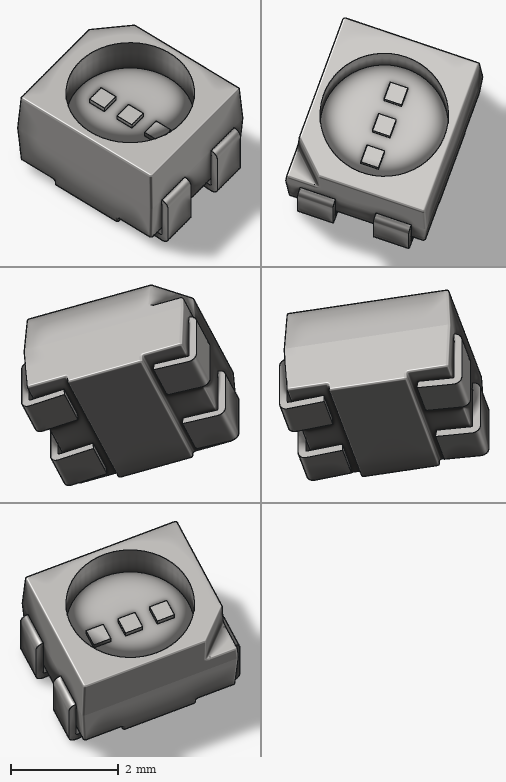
import cadquery as cq
import math

body_x = 3.2
body_y = 2.8
upper_height = 0.9
lower_height = 1.1
draft_angle = 3.0
edge_radius = 0.05

foot_width = 1.5
foot_height = 0.15

notch_leg = 0.7
notch_depth = 0.6

cavity_diameter = 2.4
cavity_depth = 0.75
die_size = 0.35
die_height = 0.1
die_pitch = 0.65
die_count = 3

span_x = 3.5
lead_thickness = 0.15
lead_width = 0.7
lead_pitch = 1.5
lead_tip_x = 0.9
lead_tilt = math.radians(3.5)
lead_outer_radius = 0.15
lead_inner_radius = 0.03
lead_embed = 0.15

foot_z = 0.09
parting_z = foot_z + lower_height
top_z = parting_z + upper_height
shelf_z = foot_z + foot_height
notch_z = top_z - notch_depth
cavity_z = top_z - cavity_depth


def tapered_block(height):
    """Block standing on XY whose four sides lean inwards."""
    return cq.Workplane("XY").rect(body_x, body_y).extrude(height, taper=draft_angle)


def upper_half():
    """Upper half: notched at one corner, every edge above the parting plane rounded."""
    notch = (
        cq.Workplane("XY", origin=(-body_x / 2, body_y / 2, notch_z))
        .moveTo(-notch_leg, -2 * notch_leg)
        .lineTo(2 * notch_leg, notch_leg)
        .lineTo(-notch_leg, notch_leg)
        .close()
        .extrude(2 * notch_depth)
    )
    block = tapered_block(upper_height).translate((0, 0, parting_z))
    return block.cut(notch).edges("not(<Z)").fillet(edge_radius)


def lower_half():
    """Lower half: a shelf each side of the foot, every edge below the parting plane rounded."""
    block = tapered_block(lower_height).mirror("XY").translate((0, 0, parting_z))
    for side in (-1, 1):
        shelf_center_x = side * (foot_width + body_x) / 2
        shelf = (
            cq.Workplane("XY", origin=(shelf_center_x, 0, shelf_z))
            .rect(body_x, 2 * body_y)
            .extrude(-2 * foot_height)
        )
        block = block.cut(shelf)
    return block.edges("not(>Z)").fillet(edge_radius)


def cavity():
    """Round reflector cavity open at the top face."""
    return cq.Workplane("XY", origin=(0, 0, cavity_z)).circle(cavity_diameter / 2).extrude(cavity_depth)


def dies():
    """Row of square dies standing on the cavity floor."""
    return (
        cq.Workplane("XY", origin=(0, 0, cavity_z))
        .rarray(die_pitch, 1, die_count, 1)
        .rect(die_size, die_size)
        .extrude(die_height)
    )


def left_lead():
    """Lead at -X: leaves the housing at the parting plane, drops, then hooks under with an upward tilt."""
    outer_x = -span_x / 2
    inner_x = outer_x + lead_thickness
    inner_z = parting_z - lead_thickness
    root_x = inner_x + lead_embed
    bend_x = outer_x + lead_outer_radius
    sin_tilt = math.sin(lead_tilt)
    cos_tilt = math.cos(lead_tilt)
    tan_tilt = math.tan(lead_tilt)

    hook_start = (bend_x + lead_outer_radius * sin_tilt, lead_outer_radius * (1 - cos_tilt))
    lower_middle = (
        bend_x - lead_outer_radius * math.cos(math.pi / 4),
        lead_outer_radius * (1 - math.sin(math.pi / 4)),
    )
    upper_middle = (lower_middle[0], parting_z - lower_middle[1])

    tip_inner_x = -lead_tip_x
    tip_outer_x = tip_inner_x + lead_thickness * sin_tilt
    tip_outer_z = hook_start[1] + (tip_outer_x - hook_start[0]) * tan_tilt
    tip_inner_z = tip_outer_z + lead_thickness * cos_tilt
    inner_corner_z = tip_inner_z - (tip_inner_x - inner_x) * tan_tilt

    profile = (
        cq.Workplane("XZ")
        .moveTo(root_x, parting_z)
        .lineTo(bend_x, parting_z)
        .threePointArc(upper_middle, (outer_x, parting_z - lead_outer_radius))
        .lineTo(outer_x, lead_outer_radius)
        .threePointArc(lower_middle, hook_start)
        .lineTo(tip_outer_x, tip_outer_z)
        .lineTo(tip_inner_x, tip_inner_z)
        .lineTo(inner_x, inner_corner_z)
        .lineTo(inner_x, inner_z)
        .lineTo(root_x, inner_z)
        .close()
    )
    lead = profile.extrude(lead_width / 2, both=True)
    inner_bend = cq.selectors.NearestToPointSelector((inner_x, 0, inner_corner_z))
    return lead.edges(inner_bend).fillet(lead_inner_radius)


def leads():
    """All four leads: two on each side, mirrored about the YZ plane."""
    left = left_lead()
    right = left.mirror("YZ")
    placed = []
    for y in (-lead_pitch / 2, lead_pitch / 2):
        placed.append(left.translate((0, y, 0)))
        placed.append(right.translate((0, y, 0)))
    return placed


result = upper_half().union(lower_half()).cut(cavity()).union(dies())
for lead in leads():
    result = result.union(lead)